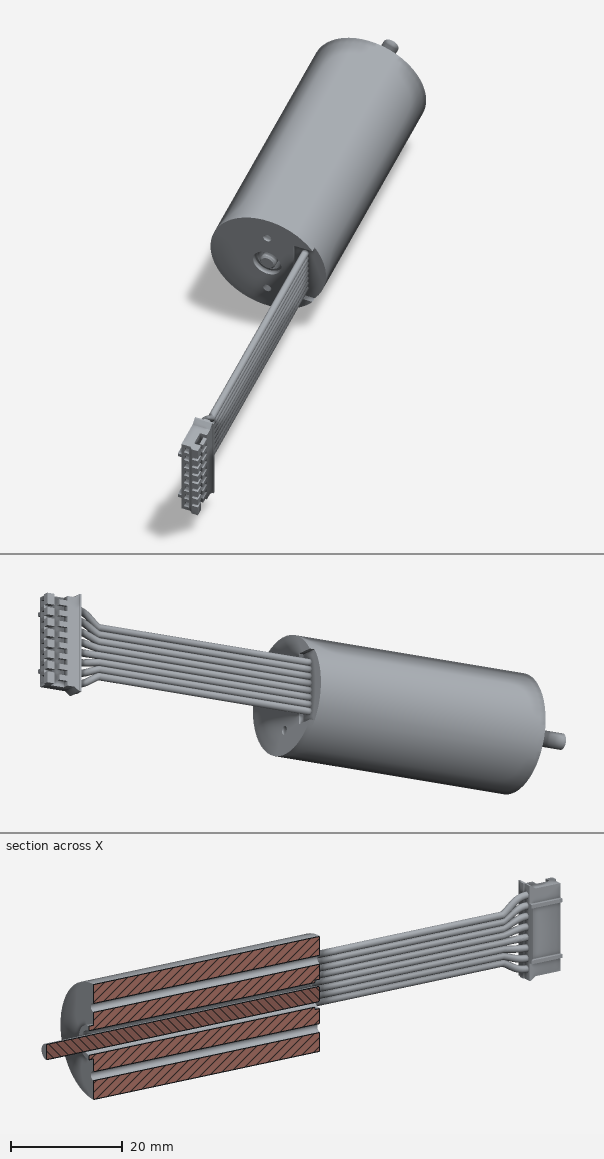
import cadquery as cq


HOUSING_RADIUS = 11.0
HOUSING_LENGTH = 48.0
CAP_THICKNESS = 1.0
BOSS_RADIUS = 3.25
BOSS_LENGTH = 1.0
BORE_RADIUS = 2.3
COUNTERBORE_RADIUS = 2.75
SCREW_HOLE_RADIUS = 0.8
SCREW_HOLE_OFFSET = 6.5
CABLE_SLOT_X = 5.0
CABLE_SLOT_HEIGHT = 13.2

SHAFT_RADIUS = 1.5
SHAFT_PROJECTION = 10.0
SHAFT_CHAMFER = 0.3

WIRE_COUNT = 8
WIRE_RADIUS = 0.67
WIRE_PITCH = 1.3
CABLE_X = 7.0
FAN_LENGTH = 5.15

PLUG_TIP_Y = -55.27
PLUG_PITCH = 2.0
PLUG_Z = (PLUG_PITCH - WIRE_PITCH) / 2
PLUG_HEIGHT = 16.7
PLUG_BACK_Y = PLUG_TIP_Y + 7.0
PLUG_FRONT_Y = PLUG_TIP_Y + 0.5
PLUG_LEFT_X = 6.0
PLUG_RIGHT_X = 9.4
BACK_STRIP_THICKNESS = 0.25
BACK_STRIP_LEFT_X = CABLE_X + WIRE_RADIUS
BACK_STRIP_RIGHT_X = 8.8

END_LIP_HEIGHT = 0.7
END_LIP_FLAT = 0.3
END_LIP_SLOPE = 1.0
END_LIP_RIGHT_X = 9.7

RIB_DEPTH = 0.7
RIB_WIDTH = 0.7
RIB_OFFSET = 5.3
RAMP_LENGTH = 0.7

TIP_SLOPE_LEFT_X = 7.75
TIP_SLOPE_RIGHT_X = 8.2
NOTCH_X = 8.05
TOOTH_GAP = 0.6
TOOTH_GAP_X = 8.25
NOTCH_FRONT_Y = PLUG_TIP_Y + 1.5
NOTCH_BACK_Y = PLUG_TIP_Y + 4.25
LANCE_END_Y = PLUG_TIP_Y + 2.5
LANCE_X = 8.7
LANCE_WIDTH = 1.0

POCKET_LEFT_X = 6.5
POCKET_RIGHT_X = 7.5
POCKET_WIDTH = 1.2
POCKET_DEPTH = 5.0


def cylinder(radius, y_start, y_end, x=0.0, z=0.0):
    """Cylinder along Y."""
    axis = cq.Vector(0, 1, 0)
    return cq.Workplane(cq.Solid.makeCylinder(radius, y_end - y_start, cq.Vector(x, y_start, z), axis))


def block(x_range, y_range, z_centre, height):
    """Box between two X and two Y positions, centred in Z on z_centre."""
    size_x = x_range[1] - x_range[0]
    size_y = y_range[1] - y_range[0]
    corner = cq.Vector(x_range[0], y_range[0], z_centre - height / 2)
    return cq.Workplane(cq.Solid.makeBox(size_x, size_y, height, corner))


def row(count, pitch, centre=0.0):
    """Evenly spaced positions from top to bottom."""
    return [centre + ((count - 1) / 2 - i) * pitch for i in range(count)]


def make_housing():
    """Cylinder with a cap at each end; the seams of the caps are kept as edges."""
    front_y = HOUSING_LENGTH - CAP_THICKNESS
    body = cylinder(HOUSING_RADIUS, CAP_THICKNESS, front_y)
    rear_cap = cylinder(HOUSING_RADIUS, 0, CAP_THICKNESS)
    slot = block((CABLE_SLOT_X, HOUSING_RADIUS), (0, CAP_THICKNESS), 0, CABLE_SLOT_HEIGHT)
    front_cap = cylinder(HOUSING_RADIUS, front_y, HOUSING_LENGTH)
    boss_end = HOUSING_LENGTH + BOSS_LENGTH
    boss = cylinder(BOSS_RADIUS, HOUSING_LENGTH, boss_end)

    solid = body.union(rear_cap.cut(slot), clean=False)
    solid = solid.union(front_cap, clean=False).union(boss, clean=False)
    solid = solid.cut(cylinder(BORE_RADIUS, 0, boss_end), clean=False)
    solid = solid.cut(cylinder(COUNTERBORE_RADIUS, 0, CAP_THICKNESS), clean=False)
    for z in (SCREW_HOLE_OFFSET, -SCREW_HOLE_OFFSET):
        solid = solid.cut(cylinder(SCREW_HOLE_RADIUS, 0, HOUSING_LENGTH, z=z), clean=False)
    return solid


def make_shaft():
    """Round rod, flush with the rear face and chamfered at that end."""
    rod = cylinder(SHAFT_RADIUS, 0, HOUSING_LENGTH + SHAFT_PROJECTION)
    return rod.faces("<Y").chamfer(SHAFT_CHAMFER)


def make_wire(z_motor, z_plug):
    """Wire running straight from the motor, then bending over to its pin and entering it square."""
    bend_y = PLUG_BACK_Y + FAN_LENGTH
    straight = cylinder(WIRE_RADIUS, bend_y, CAP_THICKNESS, CABLE_X, z_motor)
    bend = cq.Vector(CABLE_X, bend_y, z_motor)
    pin = cq.Vector(CABLE_X, PLUG_BACK_Y, z_plug)
    path = cq.Edge.makeSpline([pin, bend], tangents=[cq.Vector(0, 1, 0), bend - pin])
    fan = cq.Workplane("XZ", origin=pin.toTuple()).circle(WIRE_RADIUS).sweep(cq.Workplane(path))
    joint = cq.Workplane("XY", origin=bend.toTuple()).sphere(WIRE_RADIUS)
    return straight.union(joint).union(fan)


def make_cable():
    ends = zip(row(WIRE_COUNT, WIRE_PITCH), row(WIRE_COUNT, PLUG_PITCH, PLUG_Z))
    wires = [make_wire(z_motor, z_plug) for z_motor, z_plug in ends]
    cable = wires[0]
    for wire in wires[1:]:
        cable = cable.union(wire)
    return cable


def plug_shell():
    """Main block; its +X wall reaches further forward and has a sloped inner side."""
    outline = [
        (PLUG_LEFT_X, PLUG_BACK_Y),
        (PLUG_LEFT_X, PLUG_FRONT_Y),
        (TIP_SLOPE_LEFT_X, PLUG_FRONT_Y),
        (TIP_SLOPE_RIGHT_X, PLUG_TIP_Y),
        (PLUG_RIGHT_X, PLUG_TIP_Y),
        (PLUG_RIGHT_X, PLUG_BACK_Y),
    ]
    bottom = PLUG_Z - PLUG_HEIGHT / 2
    return cq.Workplane("XY", origin=(0, 0, bottom)).polyline(outline).close().extrude(PLUG_HEIGHT)


def end_lips():
    """Wedge-shaped lips at both ends, made as one plate, with thin strips on its +X and rear sides."""
    body_half = PLUG_HEIGHT / 2
    lip_half = body_half + END_LIP_HEIGHT
    flat_y = PLUG_BACK_Y - END_LIP_FLAT
    slope_y = flat_y - END_LIP_SLOPE
    outline = [
        (PLUG_BACK_Y, lip_half),
        (flat_y, lip_half),
        (slope_y, body_half),
        (slope_y, -body_half),
        (flat_y, -lip_half),
        (PLUG_BACK_Y, -lip_half),
    ]
    width = PLUG_RIGHT_X - PLUG_LEFT_X
    plate = cq.Workplane("YZ", origin=(PLUG_LEFT_X, 0, PLUG_Z)).polyline(outline).close().extrude(width)
    edge_strip = block((PLUG_RIGHT_X, END_LIP_RIGHT_X), (flat_y, PLUG_BACK_Y), PLUG_Z, 2 * lip_half)
    back_x = (BACK_STRIP_LEFT_X, BACK_STRIP_RIGHT_X)
    back_y = (PLUG_BACK_Y, PLUG_BACK_Y + BACK_STRIP_THICKNESS)
    back_strip = block(back_x, back_y, PLUG_Z, 2 * lip_half)
    return plate.union(edge_strip).union(back_strip)


def side_ribs():
    """Two ribs on the -X face with a ramp between them at the rear edge."""
    rib_x = PLUG_LEFT_X - RIB_DEPTH
    ramp = (
        cq.Workplane("XY", origin=(0, 0, PLUG_Z - RIB_OFFSET))
        .moveTo(PLUG_LEFT_X, PLUG_BACK_Y)
        .lineTo(rib_x, PLUG_BACK_Y)
        .lineTo(PLUG_LEFT_X, PLUG_BACK_Y - RAMP_LENGTH)
        .close()
        .extrude(2 * RIB_OFFSET)
    )
    for z in (PLUG_Z + RIB_OFFSET, PLUG_Z - RIB_OFFSET):
        ramp = ramp.union(block((rib_x, PLUG_LEFT_X), (PLUG_FRONT_Y, PLUG_BACK_Y), z, RIB_WIDTH))
    return ramp


def make_plug():
    plug = plug_shell().union(end_lips()).union(side_ribs())
    plug = plug.cut(block((NOTCH_X, PLUG_RIGHT_X), (NOTCH_FRONT_Y, NOTCH_BACK_Y), PLUG_Z, PLUG_HEIGHT))
    for z in row(WIRE_COUNT - 1, PLUG_PITCH, PLUG_Z):
        plug = plug.cut(block((TOOTH_GAP_X, PLUG_RIGHT_X), (PLUG_TIP_Y, NOTCH_FRONT_Y), z, TOOTH_GAP))
    for z in row(WIRE_COUNT, PLUG_PITCH, PLUG_Z):
        pocket_y = (PLUG_FRONT_Y, PLUG_FRONT_Y + POCKET_DEPTH)
        plug = plug.cut(block((POCKET_LEFT_X, POCKET_RIGHT_X), pocket_y, z, POCKET_WIDTH))
        plug = plug.union(block((LANCE_X, PLUG_RIGHT_X), (LANCE_END_Y, NOTCH_BACK_Y), z, LANCE_WIDTH))
    return plug


housing = make_housing()
shaft = make_shaft()
cable = make_cable()
plug = make_plug()

result = cq.Compound.makeCompound([housing.val(), shaft.val(), cable.val(), plug.val()])